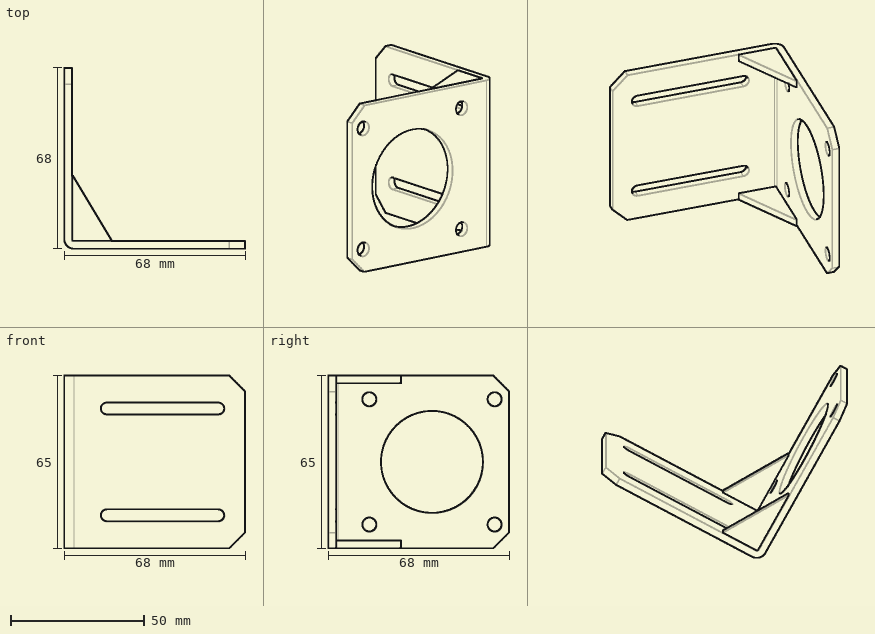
import cadquery as cq

flange_length = 68.0
height = 65.0
thickness = 3.0
bend_inner_radius = 0.75
bend_outer_radius = bend_inner_radius + thickness
corner_chamfer = 6.0
edge_radius = 0.2

slot_start = 13.9
slot_end = 60.1
slot_width = 4.35
slot_spacing = 40.1

motor_center_y = 39.0
pilot_diameter = 38.2
screw_spacing = 47.05
screw_diameter = 5.2

gusset_reach_x = 15.0
gusset_reach_y = 25.0
gusset_thickness = thickness

length_tolerance = 0.01
smallest_flat_area = flange_length * height / 4


def is_corner_edge(edge):
    return abs(edge.Length() - thickness) < length_tolerance


def is_bend_seam(edge):
    return abs(edge.BoundingBox().zlen - height) < length_tolerance


def make_flanges():
    """Sheet bent into an L, with its free corners cut off."""
    flanges = (
        cq.Workplane("XY")
        .moveTo(bend_outer_radius, 0)
        .lineTo(flange_length, 0)
        .lineTo(flange_length, thickness)
        .lineTo(bend_outer_radius, thickness)
        .radiusArc((thickness, bend_outer_radius), bend_inner_radius)
        .lineTo(thickness, flange_length)
        .lineTo(0, flange_length)
        .lineTo(0, bend_outer_radius)
        .radiusArc((bend_outer_radius, 0), -bend_outer_radius)
        .close()
        .extrude(height / 2, both=True)
    )
    flanges = flanges.faces(">X").edges("|Y").chamfer(corner_chamfer)
    flanges = flanges.faces(">Y").edges("|X").chamfer(corner_chamfer)
    return flanges.edges("|X or |Y").filter(is_corner_edge).fillet(edge_radius)


def make_slots():
    """Two horizontal adjustment slots through the base flange."""
    slot_center_x = (slot_start + slot_end) / 2
    return (
        cq.Workplane("XZ", origin=(slot_center_x, 0, 0))
        .rarray(0.7, slot_spacing, 1, 2)
        .slot2D(slot_end - slot_start, slot_width)
        .extrude(-thickness)
    )


def make_motor_holes():
    """Pilot bore and four screw holes through the motor flange."""
    flange_plane = cq.Workplane("YZ", origin=(0, motor_center_y, 0))
    pilot_bore = flange_plane.circle(pilot_diameter / 2).extrude(thickness)
    screw_holes = (
        flange_plane.rarray(screw_spacing, screw_spacing, 2, 2)
        .circle(screw_diameter / 2)
        .extrude(thickness)
    )
    return pilot_bore.union(screw_holes)


def round_rims(sheet):
    """Round the outline and the openings on both sides of each flange."""
    flat_sides = sheet.faces("|X or |Y").filter(lambda face: face.Area() > smallest_flat_area)
    rims = flat_sides.edges().filter(lambda edge: not is_bend_seam(edge))
    return rims.fillet(edge_radius)


def make_gusset(bottom_z):
    """Triangular plate with rounded edges, its square corner set into the bend."""
    return (
        cq.Workplane("XY", origin=(thickness, thickness, bottom_z))
        .polyline([(0, 0), (gusset_reach_x, 0), (0, gusset_reach_y)])
        .close()
        .extrude(gusset_thickness)
        .edges()
        .fillet(edge_radius)
    )


result = round_rims(make_flanges().cut(make_slots()).cut(make_motor_holes()))

for gusset_bottom in (height / 2 - gusset_thickness, -height / 2):
    result = result.union(make_gusset(gusset_bottom))